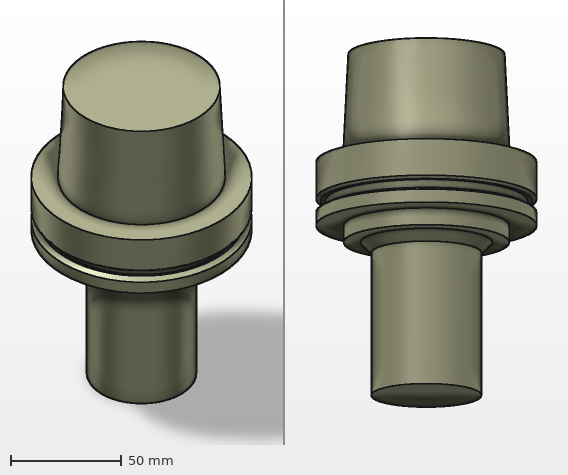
import cadquery as cq

flange_radius = 100.0 / 2
shank_radius = 50.0 / 2
collar_radius = 75.0 / 2
groove_radius = 92.0 / 2
taper_base_radius = 75.8 / 2
taper_top_radius = 35.5

total_height = 158.0
taper_height = 50.0
neck_height = 1.9
flange_thickness = 29.4
collar_height = 7.7
flange_top = total_height - taper_height
flange_bottom = flange_top - flange_thickness
taper_bottom = flange_top + neck_height
collar_bottom = flange_bottom - collar_height

cone_height = 4.9
cone_top_radius = shank_radius + cone_height

lower_rim_thickness = 6.0
groove_width = 4.0
lower_flank_height = 1.5
lower_flank_depth = 2.8
upper_flank_height = 1.1
upper_flank_depth = 2.0
floor_bottom = flange_bottom + lower_rim_thickness + lower_flank_height
floor_top = floor_bottom + groove_width

profile = (
    cq.Workplane("XZ")
    .lineTo(shank_radius, 0)
    .lineTo(shank_radius, collar_bottom - cone_height)
    .lineTo(cone_top_radius, collar_bottom)
    .lineTo(collar_radius, collar_bottom)
    .lineTo(collar_radius, flange_bottom)
    .lineTo(flange_radius, flange_bottom)
    .lineTo(flange_radius, floor_bottom - lower_flank_height)
    .lineTo(flange_radius - lower_flank_depth, floor_bottom)
    .lineTo(groove_radius, floor_bottom)
    .lineTo(groove_radius, floor_top)
    .lineTo(flange_radius - upper_flank_depth, floor_top)
    .lineTo(flange_radius, floor_top + upper_flank_height)
    .lineTo(flange_radius, flange_top)
    .lineTo(taper_base_radius, flange_top)
    .lineTo(taper_base_radius, taper_bottom)
    .lineTo(taper_top_radius, total_height)
    .lineTo(0, total_height)
    .close()
)

result = profile.revolve(360, (0, 0, 0), (0, 1, 0))